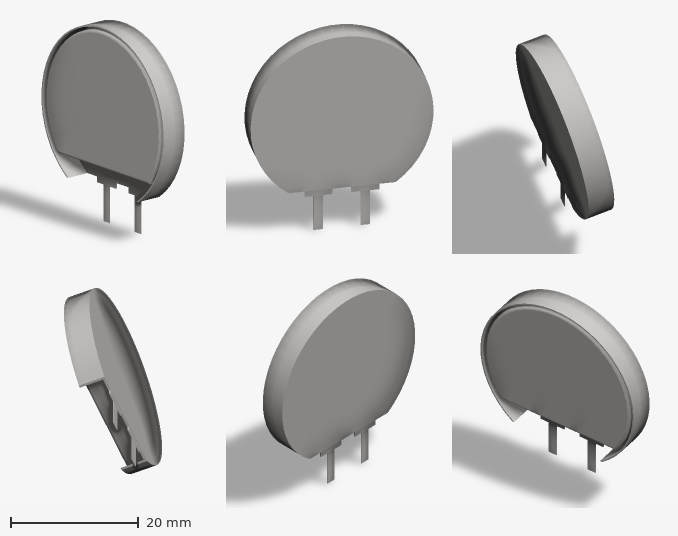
import cadquery as cq
import math

total_height = 33.65
shell_radius = 14.7
shell_wall = 0.25
shell_depth = 4.35
shell_flat_drop = 11.9
back_plate_thickness = 0.4

body_radius = 13.93
body_flat_drop = 8.5
body_edge_fillet = 0.47
body_recess = 0.07

lead_spacing = 7.5
lead_width = 1.5
lead_thickness = 0.1
lead_inset = 0.05
tab_width = 4.5
tab_height = 1.0
tab_thickness = 0.2
tab_back_offset = 0.1

lead_length = total_height - shell_radius - shell_flat_drop


def flat_bottomed_disc(radius, flat_drop, front, back):
    """Disc along Y between two depths, cut off flat below its centre."""
    half_chord = math.sqrt(radius**2 - flat_drop**2)
    return (
        cq.Workplane("XZ", origin=(0, front, 0))
        .moveTo(-half_chord, -flat_drop)
        .threePointArc((0, radius), (half_chord, -flat_drop))
        .close()
        .extrude(front - back)
    )


def hanging_strip(center_x, width, length, thickness, front):
    """Flat strip hanging below the back plate, rooted inside it for a sound joint."""
    root = back_plate_thickness
    strip = cq.Workplane("XY").box(width, thickness, length + root, centered=(True, False, False))
    return strip.translate((center_x, front, -shell_flat_drop - length))


plate_front = shell_depth - back_plate_thickness
shell = flat_bottomed_disc(shell_radius, shell_flat_drop, 0, shell_depth)
cavity = flat_bottomed_disc(shell_radius - shell_wall, shell_flat_drop, 0, plate_front)
shell = shell.cut(cavity)

body = flat_bottomed_disc(body_radius, body_flat_drop, body_recess, plate_front)
body = body.faces("<Y").edges().fillet(body_edge_fillet)
result = shell.union(body)

tab_front = shell_depth - tab_back_offset - tab_thickness
for side in (-1, 1):
    lead_x = side * lead_spacing / 2
    tab = hanging_strip(lead_x, tab_width, tab_height, tab_thickness, tab_front)
    lead = hanging_strip(lead_x, lead_width, lead_length, lead_thickness, tab_front + lead_inset)
    result = result.union(tab).union(lead)